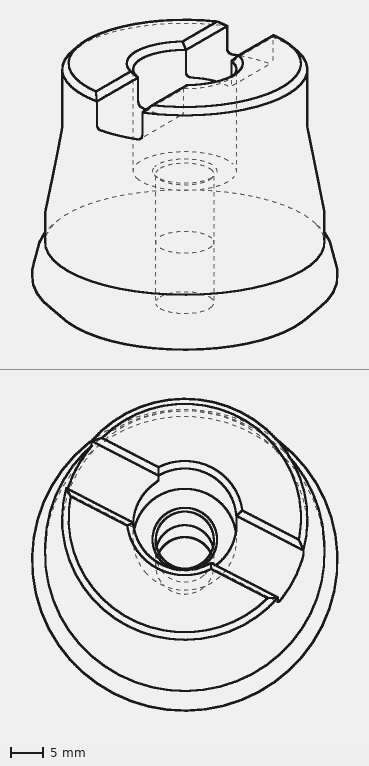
import cadquery as cq
import math

total_height = 40.0
joint_height = 10.1

top_radius = 38.0 / 2
waist_radius = 43.29 / 2
flare_bottom = 14.9
flare_top = 29.1
flare_blend_radius = 4.5
top_chamfer = 1.0

socket_radius = 16.0 / 2
socket_depth = 18.0
socket_chamfer = 1.0
bolt_hole_radius = 9.0 / 2
bolt_hole_chamfer = 0.5

slot_width = 8.4
slot_depth = 5.6
slot_corner_radius = 0.8
slot_chamfer = 1.0

ring_radius = 47.32 / 2
base_radius = 38.0 / 2
base_round_radius = 2.2
rim_round_radius = 1.5
rim_top = 5.2
shoulder_start = 8.55
taper_angle = math.radians(14)
shoulder_bevel = 0.65

EIGHTH_TURN = math.radians(45)


def bolt_hole():
    """Cutter for the hole through both bodies."""
    return cq.Workplane("XY").circle(bolt_hole_radius).extrude(total_height)


def turned_cone(bottom, height, bottom_radius, growth):
    """Cone frustum on the Z axis whose radius grows by `growth` over its height."""
    top = bottom_radius + growth
    profile = [(0, bottom), (bottom_radius, bottom), (top, bottom + height), (0, bottom + height)]
    return cq.Workplane("XZ").polyline(profile).close().revolve(360, (0, 0), (0, 1))


def holder_blank():
    """Turned outside: waist cylinder, blended flare and chamfered top cylinder."""
    flare_angle = math.atan2(waist_radius - top_radius, flare_top - flare_bottom)
    tangent = flare_blend_radius * math.tan(flare_angle / 2)
    along_r = tangent * math.sin(flare_angle)
    along_z = tangent * math.cos(flare_angle)
    return (
        cq.Workplane("XZ")
        .moveTo(0, joint_height)
        .lineTo(waist_radius, joint_height)
        .lineTo(waist_radius, flare_bottom - tangent)
        .tangentArcPoint((waist_radius - along_r, flare_bottom + along_z), relative=False)
        .lineTo(top_radius + along_r, flare_top - along_z)
        .tangentArcPoint((top_radius, flare_top + tangent), relative=False)
        .lineTo(top_radius, total_height - top_chamfer)
        .lineTo(top_radius - top_chamfer, total_height)
        .lineTo(0, total_height)
        .close()
        .revolve(360, (0, 0), (0, 1))
    )


def arbor_socket():
    """Chamfered blind bore, with the bolt hole chamfered at its floor."""
    floor = total_height - socket_depth
    bore = cq.Workplane("XY").workplane(offset=floor).circle(socket_radius).extrude(socket_depth)
    mouth = turned_cone(total_height - socket_chamfer, socket_chamfer, socket_radius, socket_chamfer)
    countersink = turned_cone(
        floor - bolt_hole_chamfer, bolt_hole_chamfer, bolt_hole_radius, bolt_hole_chamfer
    )
    return bore.union(mouth).union(countersink).union(bolt_hole())


def drive_slot():
    """Through slot with rounded floor corners and chamfered upper edges."""
    half_width = slot_width / 2
    floor = total_height - slot_depth
    slot = (
        cq.Workplane("XY")
        .workplane(offset=floor)
        .rect(slot_width, 2 * waist_radius)
        .extrude(slot_depth)
        .edges("|Y and <Z")
        .fillet(slot_corner_radius)
    )
    chamfer = (
        cq.Workplane("XZ")
        .moveTo(-half_width, total_height - slot_chamfer)
        .lineTo(half_width, total_height - slot_chamfer)
        .lineTo(half_width + slot_chamfer, total_height)
        .lineTo(-half_width - slot_chamfer, total_height)
        .close()
        .extrude(waist_radius, both=True)
    )
    return slot.union(chamfer)


def make_holder():
    return holder_blank().cut(arbor_socket()).cut(drive_slot())


def make_ring():
    """Turned ring: 45 degree lower bevel with rounded ends, rim, taper and rounded shoulder."""
    base_tangent = base_round_radius * math.tan(EIGHTH_TURN / 2)
    rim_tangent = rim_round_radius * math.tan(EIGHTH_TURN / 2)
    base_leg = base_tangent * math.sin(EIGHTH_TURN)
    rim_leg = rim_tangent * math.sin(EIGHTH_TURN)
    foot_radius = base_radius + base_tangent
    corner_height = ring_radius - foot_radius
    shoulder_radius = ring_radius - (shoulder_start - rim_top) * math.tan(taper_angle)
    blank = (
        cq.Workplane("XZ")
        .lineTo(base_radius, 0)
        .tangentArcPoint((foot_radius + base_leg, base_leg), relative=False)
        .lineTo(ring_radius - rim_leg, corner_height - rim_leg)
        .tangentArcPoint((ring_radius, corner_height + rim_tangent), relative=False)
        .lineTo(ring_radius, rim_top)
        .lineTo(shoulder_radius, shoulder_start)
        .tangentArcPoint((waist_radius + shoulder_bevel, joint_height - shoulder_bevel), relative=False)
        .lineTo(waist_radius, joint_height)
        .lineTo(0, joint_height)
        .close()
        .revolve(360, (0, 0), (0, 1))
    )
    return blank.cut(bolt_hole())


holder = make_holder()
ring = make_ring()

result = cq.Compound.makeCompound([holder.val(), ring.val()])